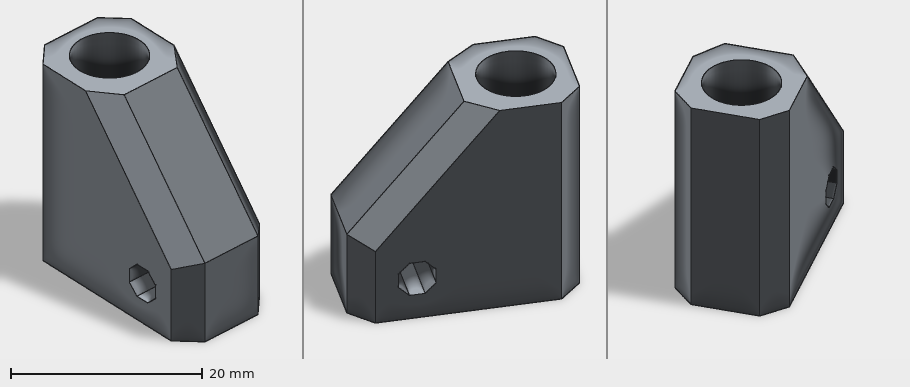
import cadquery as cq
import math

length = 25.0
width = 12.5
height = 25.0
nose_height = 10.0
slope_angle = 50.0
top_length = length - (height - nose_height) / math.tan(math.radians(slope_angle))
edge_chamfer = 2.5

bore_diameter = 8.4
bore_x = 6.0

octagon_sides = 8
octagon_corner_diameter = 4.4
octagon_x = 18.0
octagon_z = 5.0
flat_up_angle = 180.0 / octagon_sides


def make_body():
    """Block with a sloped nose; its upright and sloped edges are chamfered."""
    profile = [
        (0, 0),
        (length, 0),
        (length, nose_height),
        (top_length, height),
        (0, height),
    ]
    block = cq.Workplane("XZ").polyline(profile).close().extrude(-width)
    upright_edges = block.edges("|Z")
    sloped_edges = block.edges("not(|X or |Y or |Z)")
    return upright_edges.add(sloped_edges).chamfer(edge_chamfer)


def make_bore():
    """Round bore through the full height."""
    return cq.Workplane("XY").center(bore_x, width / 2).circle(bore_diameter / 2).extrude(height)


def make_cross_hole():
    """Octagonal hole through the full width, with flats level and upright."""
    octagon = cq.Workplane("XZ").polygon(octagon_sides, octagon_corner_diameter).extrude(-width)
    turned = octagon.rotate((0, 0, 0), (0, 1, 0), flat_up_angle)
    return turned.translate((octagon_x, 0, octagon_z))


result = make_body().cut(make_bore()).cut(make_cross_hole())